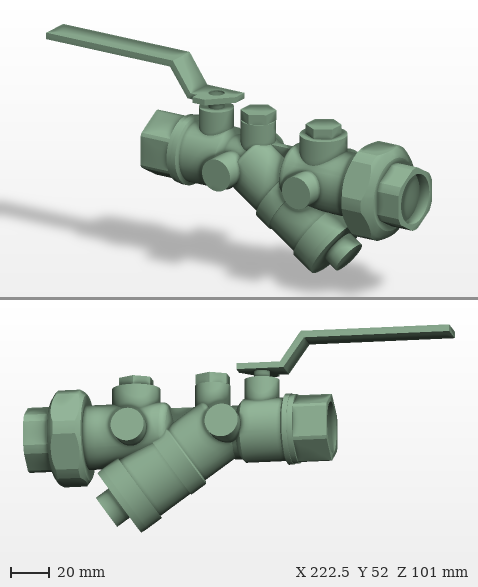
import cadquery as cq
import math


inlet_hex_length = 17.5
inlet_hex_flats = 31.4
inlet_hex_round = 17.5
socket_radius = 13.4
socket_depth = 6.0
collar_radius = 18.0
collar_rim_start = 20.5
collar_rim_radius = 18.5
collar_rim_end = 23.1
collar_end = 24.3
ball_chamber_radius = 16.5
ball_chamber_end = 45.6
neck_start = 48.3
neck_radius = 13.4
outlet_start = 85.5
outlet_radius = 16.7
outlet_fillet = 3.3
outlet_face_bulge = 4.5
union_start = 128.0
rib_thickness = 4.0

port_positions = (53.5, 102.8)
port_radius = 8.7
port_half_span = 26.0
stem_x = 36.7
stem_radius = 4.2
stem_boss_radius = 9.1
stem_boss_top = 26.7
plug_boss_top = 24.7
plug_bosses = ((62.5, 9.1), (102.8, 12.5))
plug_hex_flats = 16.2
plug_hex_height = 5.3

branch_angle = 35.0
branch_crossing_x = 61.2
branch_above_crossing = 5.1
branch_radius = 17.0
branch_fillet = 2.7
branch_collar_start = 23.8
branch_collar_lead = 1.0
branch_collar_radius = 18.7
cap_start = 34.3
cap_radius = 18.0
cap_flange_start = 53.6
cap_flange_radius = 19.4
cap_taper_start = 63.2
cap_end = 66.8
cap_end_radius = 19.1
cap_boss_radius = 9.3
cap_boss_length = 8.2

nut_length = 18.2
nut_flats = 47.0
nut_round = 25.4
nut_front_radius = 22.2
nut_front_chamfer = 2.5
nut_back_radius = 19.4
nut_back_rounding = 4.0
nut_back_bulge = 0.5
tail_end = 159.3
tail_hex_flats = 31.4
tail_hex_round = 17.0

lever_start = -63.2
lever_end = 48.7
lever_half_width = 8.0
grip_top = 50.0
grip_thickness = 3.5
grip_bend_x = 15.0
plate_bend_x = 25.8
plate_bottom = 31.2
plate_thickness = 3.1
slope_underside_shift = 1.8
tab_start = 29.8
tab_corner_x = 37.4
tab_reach = 12.2
stem_recess = 1.0


def hexagon_across_corners(flats):
    return flats / math.cos(math.radians(30))


def disc_along_x(start, end, radius):
    return cq.Workplane("YZ", origin=(start, 0, 0)).circle(radius).extrude(end - start)


def hexagon_along_x(start, end, flats, turn):
    """Hexagonal bar along X; turn = 0 puts corners on +-Y, turn = 90 on +-Z."""
    bar = cq.Workplane("YZ", origin=(start, 0, 0)).polygon(6, hexagon_across_corners(flats))
    return bar.extrude(end - start).rotate((0, 0, 0), (1, 0, 0), turn)


def upright_cylinder(x, radius, top):
    return cq.Workplane("XY", origin=(x, 0, 0)).circle(radius).extrude(top)


def make_pipe_run():
    """Inlet hexagon, collar, ball chamber, neck and outlet barrel."""
    run = hexagon_along_x(0, inlet_hex_length, inlet_hex_flats, 90)
    run = run.intersect(disc_along_x(0, inlet_hex_length, inlet_hex_round))
    barrel = (
        cq.Workplane("XZ")
        .moveTo(inlet_hex_length, 0)
        .lineTo(inlet_hex_length, collar_radius)
        .lineTo(collar_rim_start, collar_radius)
        .lineTo(collar_rim_start, collar_rim_radius)
        .lineTo(collar_rim_end, collar_rim_radius)
        .lineTo(collar_end, ball_chamber_radius)
        .lineTo(ball_chamber_end, ball_chamber_radius)
        .lineTo(neck_start, neck_radius)
        .lineTo(branch_crossing_x, neck_radius)
        .lineTo(branch_crossing_x, 0)
        .close()
        .revolve(360, (0, 0, 0), (1, 0, 0))
    )
    outlet = (
        cq.Workplane("XZ")
        .moveTo(outlet_start - outlet_face_bulge, 0)
        .lineTo(outlet_start, outlet_radius)
        .lineTo(union_start, outlet_radius)
        .lineTo(union_start, 0)
        .close()
        .revolve(360, (0, 0, 0), (1, 0, 0))
        .edges(cq.selectors.NearestToPointSelector((outlet_start, 0, 0)))
        .fillet(outlet_fillet)
    )
    return run.union(barrel).union(outlet)


def make_rib():
    """Flat web that bridges the notch between the neck and the outlet barrel."""
    length = outlet_start - branch_crossing_x
    rib = cq.Workplane("XY", origin=(branch_crossing_x, 0, 0))
    return rib.box(length, rib_thickness, neck_radius, centered=(False, True, False))


def make_branch():
    """Strainer branch with its screwed cap, turned about its sloping axis."""
    profile = (
        cq.Workplane("XZ")
        .lineTo(branch_radius - branch_fillet, 0)
        .radiusArc((branch_radius, branch_fillet), -branch_fillet)
        .lineTo(branch_radius, branch_collar_start)
        .lineTo(branch_collar_radius, branch_collar_start + branch_collar_lead)
        .lineTo(branch_collar_radius, cap_start)
        .lineTo(cap_radius, cap_start)
        .lineTo(cap_radius, cap_flange_start)
        .lineTo(cap_flange_radius, cap_flange_start)
        .lineTo(cap_flange_radius, cap_taper_start)
        .lineTo(cap_end_radius, cap_end)
        .lineTo(cap_boss_radius, cap_end)
        .lineTo(cap_boss_radius, cap_end + cap_boss_length)
        .lineTo(0, cap_end + cap_boss_length)
        .close()
    )
    branch = profile.revolve(360, (0, 0, 0), (0, 1, 0)).translate((0, 0, -branch_above_crossing))
    branch = branch.rotate((0, 0, 0), (0, 1, 0), 90 + branch_angle)
    return branch.translate((branch_crossing_x, 0, 0))


def make_side_port(x):
    port = cq.Workplane("XZ", origin=(x, port_half_span, 0))
    return port.circle(port_radius).extrude(2 * port_half_span)


def make_plug_boss(x, radius):
    """Upright boss closed by a hexagon plug head with corners on +-Y."""
    head = cq.Workplane("XY", origin=(x, 0, plug_boss_top))
    head = head.polygon(6, hexagon_across_corners(plug_hex_flats)).extrude(plug_hex_height)
    head = head.rotate((x, 0, 0), (x, 0, 1), 90)
    return upright_cylinder(x, radius, plug_boss_top).union(head)


def make_housing():
    stem_top = plate_bottom + plate_thickness - stem_recess
    housing = make_pipe_run().union(make_rib()).union(make_branch())
    for x in port_positions:
        housing = housing.union(make_side_port(x))
    for x, radius in plug_bosses:
        housing = housing.union(make_plug_boss(x, radius))
    housing = housing.union(upright_cylinder(stem_x, stem_boss_radius, stem_boss_top))
    housing = housing.union(upright_cylinder(stem_x, stem_radius, stem_top))
    return housing.cut(disc_along_x(0, socket_depth, socket_radius))


def make_union():
    """Union nut with its hexagonal tail piece, butted against the outlet barrel."""
    nut_end = union_start + nut_length
    rounding_start = nut_end - nut_back_rounding
    back_slope = math.atan2(nut_round - nut_back_radius, nut_back_rounding)
    arc_middle = (
        (rounding_start + nut_end) / 2 + nut_back_bulge * math.sin(back_slope),
        (nut_round + nut_back_radius) / 2 + nut_back_bulge * math.cos(back_slope),
    )
    envelope = (
        cq.Workplane("XZ")
        .moveTo(union_start, 0)
        .lineTo(union_start, nut_front_radius)
        .lineTo(union_start + nut_front_chamfer, nut_round)
        .lineTo(rounding_start, nut_round)
        .threePointArc(arc_middle, (nut_end, nut_back_radius))
        .lineTo(nut_end, 0)
        .close()
        .revolve(360, (0, 0, 0), (1, 0, 0))
    )
    nut = hexagon_along_x(union_start, nut_end, nut_flats, 0).intersect(envelope)
    tail = hexagon_along_x(nut_end, tail_end, tail_hex_flats, 90)
    tail = tail.intersect(disc_along_x(nut_end, tail_end, tail_hex_round))
    return nut.union(tail).cut(disc_along_x(tail_end - socket_depth, tail_end, socket_radius))


def make_lever():
    """Cranked flat lever with a stop tab and a hole for the stem."""
    plate_top = plate_bottom + plate_thickness
    lever = (
        cq.Workplane("XZ", origin=(0, lever_half_width, 0))
        .moveTo(lever_start, grip_top)
        .lineTo(grip_bend_x, grip_top)
        .lineTo(plate_bend_x, plate_top)
        .lineTo(lever_end, plate_top)
        .lineTo(lever_end, plate_bottom)
        .lineTo(plate_bend_x - slope_underside_shift, plate_bottom)
        .lineTo(grip_bend_x - slope_underside_shift, grip_top - grip_thickness)
        .lineTo(lever_start, grip_top - grip_thickness)
        .close()
        .extrude(2 * lever_half_width)
    )
    tab = (
        cq.Workplane("XY", origin=(0, 0, plate_bottom))
        .moveTo(tab_start, 0)
        .lineTo(tab_start, -tab_reach)
        .lineTo(tab_corner_x, -tab_reach)
        .lineTo(lever_end, 0)
        .close()
        .extrude(plate_thickness)
    )
    corner_cut = (
        cq.Workplane("XY", origin=(0, 0, plate_bottom))
        .moveTo(tab_corner_x, -tab_reach)
        .lineTo(lever_end, 0)
        .lineTo(lever_end, -tab_reach)
        .close()
        .extrude(plate_thickness)
    )
    return lever.union(tab).cut(corner_cut).cut(upright_cylinder(stem_x, stem_radius, grip_top))


housing = make_housing()
union_fitting = make_union()
lever = make_lever()

result = cq.Compound.makeCompound([body.solids().val() for body in (housing, union_fitting, lever)])